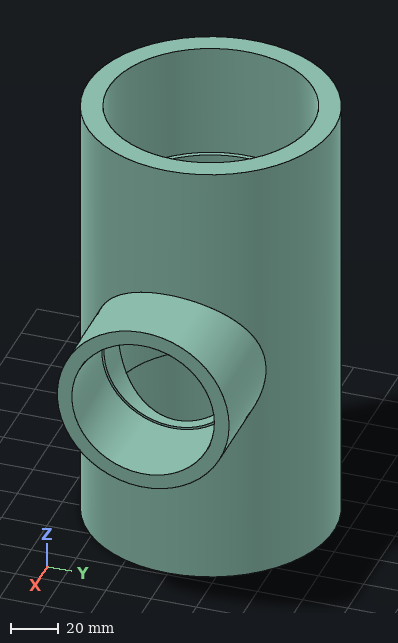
import cadquery as cq

body_length = 198.0
body_diameter = 109.0
body_socket_diameter = 90.0
body_bore_diameter = 86.0
body_socket_depth = 51.0

overall_width = 140.5
branch_mouth = overall_width - body_diameter / 2
branch_diameter = 76.0
branch_socket_diameter = 63.0
branch_bore_diameter = 61.0
branch_socket_depth = 38.0


def upright_cylinder(diameter, bottom, length):
    """Cylinder on the main axis, rising from the given height."""
    return cq.Workplane("XY").workplane(offset=bottom).circle(diameter / 2).extrude(length)


def branch_cylinder(diameter, start, length):
    """Cylinder on the branch axis, running toward +X from the given distance."""
    return cq.Workplane("YZ").workplane(offset=start).circle(diameter / 2).extrude(length)


body_bottom = -body_length / 2
outside = upright_cylinder(body_diameter, body_bottom, body_length)
outside = outside.union(branch_cylinder(branch_diameter, 0, branch_mouth))

inside = upright_cylinder(body_bore_diameter, body_bottom, body_length)
for socket_bottom in (body_bottom, body_length / 2 - body_socket_depth):
    inside = inside.union(upright_cylinder(body_socket_diameter, socket_bottom, body_socket_depth))

inside = inside.union(branch_cylinder(branch_bore_diameter, 0, branch_mouth))
branch_socket_start = branch_mouth - branch_socket_depth
inside = inside.union(branch_cylinder(branch_socket_diameter, branch_socket_start, branch_socket_depth))

result = outside.cut(inside)